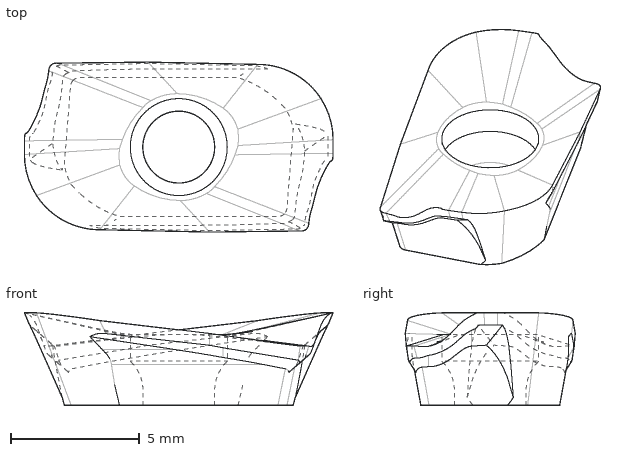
import cadquery as cq
import math


RIM_TOP = 3.6
SEAT_Z = 2.76
HALF_LENGTH = 6.0
HALF_WIDTH = 3.306
CORNER_Y = -0.29

RIM_RADIUS = 2.93
RIM_CENTRE_X = RIM_RADIUS - HALF_LENGTH
RIM_SPLIT = 33.0
CORNER_DROP = 0.3
CORNER_DROP_POWER = 1.5
NOSE_Z = 2.3

BASE_HALF_WIDTH = 2.71
BASE_HALF_LENGTH = 4.48
BASE_RADIUS = BASE_HALF_WIDTH + CORNER_Y
BASE_CENTRE_X = BASE_RADIUS - BASE_HALF_LENGTH
BASE_SPLIT = 28.7

WALL_BASE_Y = 2.7
WALL_LEAN = 10.3
WALL_BLEND_Z = 1.58
WALL_UPRIGHT_Z = 2.17
END_WALL_X = 4.39
END_WALL_SPREAD = 0.22
END_WALL_SKEW = 0.08
WALL_CORNER_RADIUS = 0.36
WALL_MARGIN = 0.6

END_UNDERCUT = 0.87
END_INNER_X = -4.08
SIDE_UNDERCUT = 1.8
SIDE_LIP_Y = -3.19
SIDE_OUTER_Y = -4.2
SIDE_INNER_Y = -2.04

HOLE_RADIUS = 1.39
BORE_RADIUS = 1.88
FLARE_TOP = 1.72
FLARE_BOTTOM = 0.58

FAR = 12.0


def line(start, end):
    return cq.Edge.makeLine(cq.Vector(*start), cq.Vector(*end))


def arc(start, middle, end):
    return cq.Edge.makeThreePointArc(cq.Vector(*start), cq.Vector(*middle), cq.Vector(*end))


def spline(points, tangents=None):
    directions = [cq.Vector(*tangent) for tangent in tangents] if tangents else None
    return cq.Edge.makeSpline([cq.Vector(*point) for point in points], tangents=directions)


def on_corner(centre_x, radius, degrees, z):
    angle = math.radians(degrees)
    return (centre_x - radius * math.cos(angle), CORNER_Y - radius * math.sin(angle), z)


def half_turn(shape):
    return shape.rotate((0, 0, 0), (0, 0, 1), 180)


def close_by_half_turn(edges):
    return cq.Wire.assembleEdges(edges + [half_turn(edge) for edge in edges])




def rim_wire():
    def flat_point(degrees):
        return on_corner(RIM_CENTRE_X, RIM_RADIUS, degrees, RIM_TOP)

    def fall_point(share):
        degrees = RIM_SPLIT + share * (90 - RIM_SPLIT)
        z = RIM_TOP - CORNER_DROP * share**CORNER_DROP_POWER
        return on_corner(RIM_CENTRE_X, RIM_RADIUS, degrees, z)

    fall_steps = 4
    fall = [fall_point(i / fall_steps) for i in range(fall_steps + 1)]
    widest = (1.2, -HALF_WIDTH, 2.8)
    nose_start = (4.72, -3.26, NOSE_Z)
    nose_end = (5.05, -2.96, NOSE_Z)
    crest = (HALF_LENGTH, -0.24, RIM_TOP)
    wave = [nose_end, (5.18, -2.35, NOSE_Z), (5.35, -1.7, 2.64), (5.69, -0.89, 3.4), (5.9, -0.55, 3.58), crest]
    return close_by_half_turn([
        arc(flat_point(0), flat_point(RIM_SPLIT / 2), flat_point(RIM_SPLIT)),
        spline(fall),
        line(fall[-1], widest),
        line(widest, nose_start),
        arc(nose_start, (4.95, -3.19, NOSE_Z), nose_end),
        spline(wave, tangents=[(0.1, 1, 0), (0, 1, 0)]),
        line(crest, (HALF_LENGTH, -CORNER_Y, RIM_TOP)),
    ])


def seat_wire():
    start = (-2.3, -0.06, SEAT_Z)
    corner_split = (-2.29, -0.7, SEAT_Z)
    corner_end = (-1.73, -1.51, SEAT_Z)
    widest = (0.06, -2.08, SEAT_Z)
    nose_start = (1.08, -1.8, SEAT_Z)
    nose_end = (1.39, -1.54, SEAT_Z)
    crest = (2.18, -0.3, SEAT_Z)
    return close_by_half_turn([
        arc(start, (-2.32, -0.38, SEAT_Z), corner_split),
        arc(corner_split, (-2.1, -1.13, SEAT_Z), corner_end),
        arc(corner_end, (-0.9, -1.92, SEAT_Z), widest),
        arc(widest, (0.6, -2.0, SEAT_Z), nose_start),
        arc(nose_start, (1.22, -1.7, SEAT_Z), nose_end),
        arc(nose_end, (1.86, -0.96, SEAT_Z), crest),
        line(crest, (2.3, 0.06, SEAT_Z)),
    ])


def base_wire():
    def corner(degrees):
        return on_corner(BASE_CENTRE_X, BASE_RADIUS, degrees, 0)

    corner_end = (-1.5, -2.85, 0)
    widest = (1.2, -2.94, 0)
    nose_start = (4.38, -2.92, 0)
    nose_end = (4.35, -2.35, 0)
    crest = (4.45, -0.12, 0)
    return close_by_half_turn([
        arc(corner(0), corner(BASE_SPLIT / 2), corner(BASE_SPLIT)),
        arc(corner(BASE_SPLIT), (-2.22, -2.72, 0), corner_end),
        line(corner_end, widest),
        line(widest, nose_start),
        arc(nose_start, (4.46, -2.64, 0), nose_end),
        line(nose_end, crest),
        line(crest, (BASE_HALF_LENGTH, -CORNER_Y, 0)),
    ])


def long_walls():
    """Slab between the two long walls: sloped, blended by an arc, then upright."""
    lean = math.radians(WALL_LEAN)
    low = -WALL_MARGIN
    high = RIM_TOP + WALL_MARGIN

    def sloped_y(z):
        return WALL_BASE_Y + z * math.tan(lean)

    blend_radius = (WALL_UPRIGHT_Z - WALL_BLEND_Z) / math.sin(lean)
    upright_y = sloped_y(WALL_BLEND_Z) + blend_radius * (1 - math.cos(lean))
    blend_middle = (
        upright_y - blend_radius * (1 - math.cos(lean / 2)),
        WALL_UPRIGHT_Z - blend_radius * math.sin(lean / 2),
    )
    return (
        cq.Workplane("YZ")
        .moveTo(0, low)
        .lineTo(sloped_y(low), low)
        .lineTo(sloped_y(WALL_BLEND_Z), WALL_BLEND_Z)
        .threePointArc(blend_middle, (upright_y, WALL_UPRIGHT_Z))
        .lineTo(upright_y, high)
        .lineTo(0, high)
        .mirrorY()
        .extrude(FAR, both=True)
    )


def end_walls():
    """Block between the two end walls, wider than the part."""
    def outline(z):
        x = END_WALL_X + END_WALL_SPREAD * z
        y = HALF_LENGTH
        slant = END_WALL_SKEW * y
        corners = [(x - slant, -y), (x + slant, y), (slant - x, y), (-x - slant, -y)]
        return cq.Wire.makePolygon([cq.Vector(cx, cy, z) for cx, cy in corners], close=True)

    return cq.Workplane(cq.Solid.makeLoft([outline(-WALL_MARGIN), outline(RIM_TOP + WALL_MARGIN)], True))


def wall_block():
    """Lower body inside all four walls, rounded at the two nose corners."""
    nose_edges = cq.selectors.BoxSelector((3, -3.6, -FAR), (7.2, -2.16, FAR))
    nose_edges += cq.selectors.BoxSelector((-7.2, 2.16, -FAR), (-3, 3.6, FAR))
    return long_walls().intersect(end_walls()).edges(nose_edges).fillet(WALL_CORNER_RADIUS)


def end_undercut():
    """Everything below the wavy lip underside at the -X end, between two facing profiles."""
    def profile(x, crest_end, bend, side_end):
        drop = END_UNDERCUT * (x + HALF_LENGTH)
        nose = 2.78 - drop
        wave = [(2.14, nose), (1.7, 2.89 - drop), (1.43, 3.02 - drop), (0.85, 3.3 - drop), (0.72, 3.31 - drop)]
        return (
            cq.Workplane("YZ", origin=(x, 0, 0))
            .moveTo(FAR, -FAR)
            .lineTo(FAR, nose)
            .lineTo(2.4, nose)
            .spline(wave, includeCurrent=True)
            .lineTo(*crest_end)
            .threePointArc(bend, side_end)
            .lineTo(-0.9, -FAR)
            .close()
            .val()
        )

    outer = profile(-HALF_LENGTH, (-0.62, 3.3), (-0.94, 3.04), (-1.05, 2.4))
    inner = profile(END_INNER_X, (0.72, 1.63), (0.11, 1.08), (-0.9, -0.48))
    return cq.Workplane(cq.Solid.makeLoft([outer, inner], True))


def side_undercut():
    """Everything below the sloping lip underside on the -Y side."""
    lift = SIDE_UNDERCUT * (SIDE_LIP_Y - SIDE_OUTER_Y)
    reach = SIDE_INNER_Y - SIDE_OUTER_Y
    underside = [(-3.84, 3.0), (1.73, 2.16), (7.2, 1.44)]
    profile = (
        cq.Workplane("XZ", origin=(0, SIDE_OUTER_Y, lift))
        .polyline([(-3.84, -FAR), *underside, (7.2, -FAR)])
        .close()
        .val()
    )
    return cq.Workplane(cq.Solid.extrudeLinear(profile, [], cq.Vector(0, reach, -SIDE_UNDERCUT * reach)))


def screw_hole():
    """Bore, convex flare tangent to the hole, and through hole."""
    flare_width = BORE_RADIUS - HOLE_RADIUS
    flare_depth = FLARE_TOP - FLARE_BOTTOM
    flare_radius = (flare_width**2 + flare_depth**2) / (2 * flare_width)
    half_sweep = math.asin(flare_depth / flare_radius) / 2
    flare_middle = (
        HOLE_RADIUS + flare_radius * (1 - math.cos(half_sweep)),
        FLARE_BOTTOM + flare_radius * math.sin(half_sweep),
    )
    return (
        cq.Workplane("XZ")
        .lineTo(HOLE_RADIUS, 0)
        .lineTo(HOLE_RADIUS, FLARE_BOTTOM)
        .threePointArc(flare_middle, (BORE_RADIUS, FLARE_TOP))
        .lineTo(BORE_RADIUS, RIM_TOP)
        .lineTo(0, RIM_TOP)
        .close()
        .revolve(360, (0, 0, 0), (0, 1, 0))
    )


upper_body = cq.Workplane(cq.Solid.makeLoft([seat_wire(), rim_wire(), base_wire()], True))
side_and_end = half_turn(end_undercut()).union(side_undercut())
relief = side_and_end.cut(wall_block())
result = upper_body.cut(relief).cut(half_turn(relief)).cut(screw_hole())